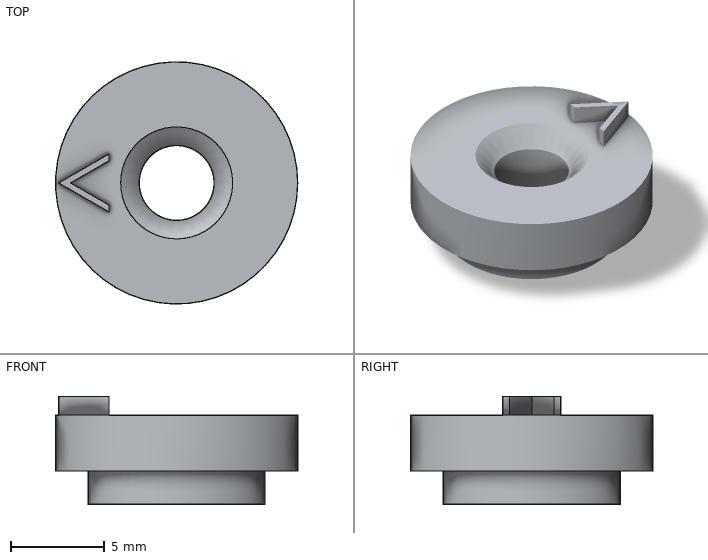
import cadquery as cq
import math

disc_diameter = 13.0
disc_thickness = 3.0
spigot_diameter = 9.5
spigot_height = 1.8

hole_diameter = 4.0
countersink_diameter = 6.0
countersink_angle = 90.0

arrow_height = 1.0
arrow_tip_x = -6.33
arrow_back_x = -3.63
arrow_notch_x = -5.68
arrow_half_angle = math.radians(30.0)

disc_top_z = spigot_height + disc_thickness


def make_body():
    spigot = cq.Workplane("XY").circle(spigot_diameter / 2).extrude(spigot_height)
    return spigot.faces(">Z").workplane().circle(disc_diameter / 2).extrude(disc_thickness)


def cut_countersunk_hole(body):
    return body.faces(">Z").workplane().cskHole(hole_diameter, countersink_diameter, countersink_angle)


def make_arrow():
    """Two-armed arrowhead with parallel arm edges and its arms cut off square to X."""
    outer_half_width = (arrow_back_x - arrow_tip_x) * math.tan(arrow_half_angle)
    inner_half_width = (arrow_back_x - arrow_notch_x) * math.tan(arrow_half_angle)
    outline = [
        (arrow_tip_x, 0),
        (arrow_back_x, outer_half_width),
        (arrow_back_x, inner_half_width),
        (arrow_notch_x, 0),
        (arrow_back_x, -inner_half_width),
        (arrow_back_x, -outer_half_width),
    ]
    return cq.Workplane("XY", origin=(0, 0, disc_top_z)).polyline(outline).close().extrude(arrow_height)


result = cut_countersunk_hole(make_body()).union(make_arrow())